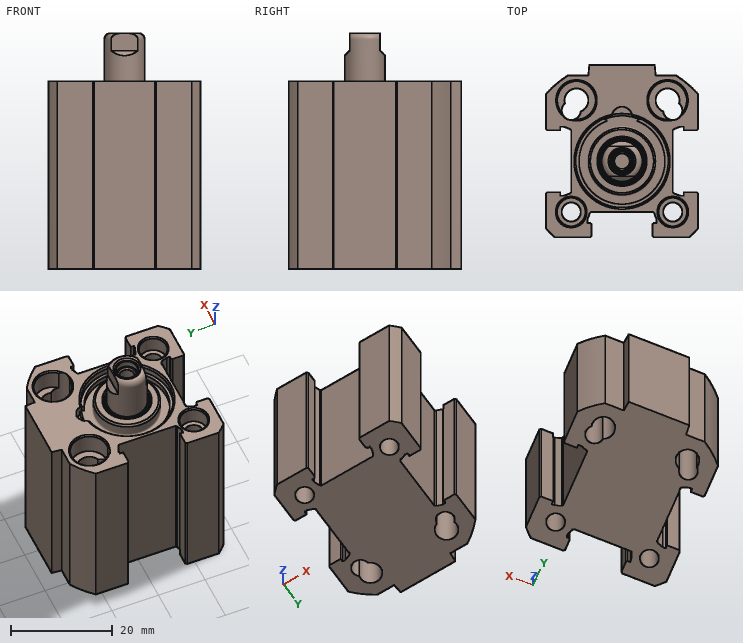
import cadquery as cq
import math


TOTAL_HEIGHT = 46.5
ROD_PROTRUSION = 9.5
HOUSING_HEIGHT = TOTAL_HEIGHT - ROD_PROTRUSION
HALF_WIDTH = 30.0 / 2
SHOULDER_Y = 16.93
PORT_PAD_Y = 34.0 - HALF_WIDTH
PORT_PAD_HALF_TOP = 6.45
PORT_PAD_HALF_BASE = 6.65
CORNER_RADIUS = 20.0

SLOT_FLOOR = 10.0
SLOT_FLOOR_HALF = 6.1
SLOT_FLOOR_BEVEL = 0.25
SLOT_HALF_WIDTH = 6.8
SLOT_SLOPE_END = 11.5
LIP_INNER = 12.15
FRONT_LIP_HALF_WIDTH = 6.0
SIDE_LIP_HALF_WIDTH = 6.1
FRONT_LIP_CHAMFER = 0.3
SIDE_LIP_CHAMFER = 0.3

BOLT_PITCH_HALF = 10.0
BOLT_HOLE_DIA = 3.7
COUNTERBORE_DIA = 5.6
COUNTERBORE_RIM_DIA = 6.15
COUNTERBORE_DEPTH = 3.8
REAR_POCKET_X = 8.97
REAR_POCKET_Y = 12.0
REAR_POCKET_DIA = 7.55
REAR_POCKET_RIM_DIA = 8.1
REAR_POCKET_HOLE_DIA = 4.65
REAR_POCKET_DEPTH = 4.75

MOUTH_RIM_DIA = 18.9
MOUTH_DIA = 18.25
GROOVE_DIA = 18.85
BORE_DIA = 17.9
BORE_DEPTH = 8.0
RELEASE_NOTCH_DIA = 4.0
RELEASE_NOTCH_Y = 8.75
RELEASE_NOTCH_DEPTH = 2.35

RING_INNER_DIA = 16.93
RING_TOP_DEPTH = 1.67
RING_GAP_HALF = 2.98
RING_GAP_ANGLE = 45.0

FLANGE_TOP_DEPTH = 2.95
BOSS_TOP_DEPTH = 0.15
BOSS_DIA = 13.2
BOSS_CHAMFER = 0.35
BOSS_ROOT_FILLET = 0.35
SEAL_SEAT_DIA = 9.2
SEAL_SEAT_RIM_DIA = 9.8
SEAL_SEAT_DEPTH = 2.0

SEAL_LIP_DIA = 8.4
SEAL_LIP_ROOT_DIA = 8.8
SEAL_LIP_DEPTH = 0.45
SEAL_FACE_DEPTH = 1.0

ROD_DIA = 8.0
ROD_TOP_FILLET = 1.25
FLATS_WIDTH = 6.0
FLATS_LENGTH = 3.45
ROD_HOLE_RIM_DIA = 5.4
ROD_HOLE_ENTRY_DIA = 4.75
ROD_HOLE_DIA = 4.25
ROD_HOLE_STEP_DEPTH = 1.8
ROD_HOLE_STEP_RIM_DIA = 3.7
ROD_HOLE_END_DIA = 3.0
ROD_HOLE_DEPTH = 5.0

BORE_FLOOR_Z = HOUSING_HEIGHT - BORE_DEPTH
FLANGE_TOP_Z = HOUSING_HEIGHT - FLANGE_TOP_DEPTH
BOSS_TOP_Z = HOUSING_HEIGHT - BOSS_TOP_DEPTH
SEAL_SEAT_Z = HOUSING_HEIGHT - SEAL_SEAT_DEPTH
GROOVE_TOP_Z = HOUSING_HEIGHT - RING_TOP_DEPTH
GROOVE_CONE_TOP_Z = FLANGE_TOP_Z + (GROOVE_DIA - BORE_DIA) / 2
FACE_CORNER = math.sqrt(CORNER_RADIUS**2 - HALF_WIDTH**2)
SHOULDER_CORNER = math.sqrt(CORNER_RADIUS**2 - SHOULDER_Y**2)


def cylinder(diameter, bottom, top, x=0.0, y=0.0):
    return cq.Workplane("XY", origin=(x, y, bottom)).circle(diameter / 2).extrude(top - bottom)


def rim_cone(rim_dia, hole_dia, top, x=0.0, y=0.0):
    """45 degree countersink from rim_dia at the given top down to hole_dia."""
    depth = (rim_dia - hole_dia) / 2
    cone = cq.Solid.makeCone(hole_dia / 2, rim_dia / 2, depth, pnt=cq.Vector(x, y, top - depth))
    return cq.Workplane(obj=cone)


def side_slot_points():
    """Right side slot outline, from its +Y lip to its -Y lip."""
    upper = [
        (HALF_WIDTH, SIDE_LIP_HALF_WIDTH + SIDE_LIP_CHAMFER),
        (HALF_WIDTH - SIDE_LIP_CHAMFER, SIDE_LIP_HALF_WIDTH),
        (LIP_INNER, SIDE_LIP_HALF_WIDTH),
        (LIP_INNER, SLOT_HALF_WIDTH),
        (SLOT_SLOPE_END, SLOT_HALF_WIDTH),
        (SLOT_FLOOR + SLOT_FLOOR_BEVEL, SLOT_FLOOR_HALF + SLOT_FLOOR_BEVEL),
        (SLOT_FLOOR, SLOT_FLOOR_HALF),
    ]
    lower = [(x, -y) for x, y in reversed(upper)]
    return upper + lower


def front_slot_points():
    """Right half of the front slot, from its outer lip edge to its floor."""
    return [
        (FRONT_LIP_HALF_WIDTH + FRONT_LIP_CHAMFER, -HALF_WIDTH),
        (FRONT_LIP_HALF_WIDTH, -HALF_WIDTH + FRONT_LIP_CHAMFER),
        (FRONT_LIP_HALF_WIDTH, -LIP_INNER - FRONT_LIP_CHAMFER),
        (FRONT_LIP_HALF_WIDTH + FRONT_LIP_CHAMFER, -LIP_INNER),
        (SLOT_HALF_WIDTH, -LIP_INNER),
        (SLOT_HALF_WIDTH, -SLOT_SLOPE_END),
        (SLOT_FLOOR_HALF + SLOT_FLOOR_BEVEL, -SLOT_FLOOR - SLOT_FLOOR_BEVEL),
        (SLOT_FLOOR_HALF, -SLOT_FLOOR),
    ]


def corner_arc_middle(start, end):
    """Point halfway along the corner circle between two of its points."""
    middle_angle = (math.atan2(start[1], start[0]) + math.atan2(end[1], end[0])) / 2
    return (CORNER_RADIUS * math.cos(middle_angle), CORNER_RADIUS * math.sin(middle_angle))


def housing_blank():
    """Right half of the profile, extruded and mirrored."""
    shoulder_end = (SHOULDER_CORNER, SHOULDER_Y)
    rear_corner = (HALF_WIDTH, FACE_CORNER)
    front_corner = (HALF_WIDTH, -FACE_CORNER)
    front_end = (FACE_CORNER, -HALF_WIDTH)
    profile = (
        cq.Workplane("XY")
        .moveTo(0, PORT_PAD_Y)
        .lineTo(PORT_PAD_HALF_TOP, PORT_PAD_Y)
        .lineTo(PORT_PAD_HALF_BASE, SHOULDER_Y)
        .lineTo(*shoulder_end)
        .threePointArc(corner_arc_middle(shoulder_end, rear_corner), rear_corner)
        .polyline([*side_slot_points(), front_corner], includeCurrent=True)
        .threePointArc(corner_arc_middle(front_corner, front_end), front_end)
        .polyline([*front_slot_points(), (0, -SLOT_FLOOR)], includeCurrent=True)
    )
    half = profile.close().extrude(HOUSING_HEIGHT)
    return half.union(half.mirror("YZ")).clean()


def counterbore(diameter, rim_dia, depth, x, y):
    pocket = cylinder(diameter, HOUSING_HEIGHT - depth, HOUSING_HEIGHT, x, y)
    return pocket.union(rim_cone(rim_dia, diameter, HOUSING_HEIGHT, x, y))


def retaining_groove():
    """Groove with a straight wall above a cone that narrows to the bore."""
    wall = cylinder(GROOVE_DIA, GROOVE_CONE_TOP_Z, GROOVE_TOP_Z)
    return wall.union(rim_cone(GROOVE_DIA, BORE_DIA, GROOVE_CONE_TOP_Z))


def cylinder_mouth():
    """Stepped bore for the rod cover, with the retaining ring groove and release notch."""
    bore = cylinder(BORE_DIA, BORE_FLOOR_Z, FLANGE_TOP_Z)
    mouth = cylinder(MOUTH_DIA, GROOVE_TOP_Z, HOUSING_HEIGHT)
    rim = rim_cone(MOUTH_RIM_DIA, MOUTH_DIA, HOUSING_HEIGHT)
    notch = cylinder(RELEASE_NOTCH_DIA, HOUSING_HEIGHT - RELEASE_NOTCH_DEPTH, HOUSING_HEIGHT, y=RELEASE_NOTCH_Y)
    return bore.union(retaining_groove()).union(mouth).union(rim).union(notch)


def front_bolt_hole(x):
    hole = cylinder(BOLT_HOLE_DIA, 0, HOUSING_HEIGHT, x, -BOLT_PITCH_HALF)
    sink = counterbore(COUNTERBORE_DIA, COUNTERBORE_RIM_DIA, COUNTERBORE_DEPTH, x, -BOLT_PITCH_HALF)
    return hole.union(sink)


def rear_bolt_hole(bolt_x, pocket_x):
    """Bolt hole overlapped by a wide pocket that has a second, larger hole in its floor."""
    floor_z = HOUSING_HEIGHT - REAR_POCKET_DEPTH
    bolt_hole = cylinder(BOLT_HOLE_DIA, 0, HOUSING_HEIGHT, bolt_x, BOLT_PITCH_HALF)
    pocket_hole = cylinder(REAR_POCKET_HOLE_DIA, 0, floor_z, pocket_x, REAR_POCKET_Y)
    pocket = counterbore(REAR_POCKET_DIA, REAR_POCKET_RIM_DIA, REAR_POCKET_DEPTH, pocket_x, REAR_POCKET_Y)
    return bolt_hole.union(pocket_hole).union(pocket)


def make_housing():
    body = housing_blank().cut(cylinder_mouth())
    for side in (-1, 1):
        body = body.cut(front_bolt_hole(side * BOLT_PITCH_HALF))
        body = body.cut(rear_bolt_hole(side * BOLT_PITCH_HALF, side * REAR_POCKET_X))
    return body


def make_rod_cover():
    """Flanged bushing with a boss that ends just below the housing top."""
    boss = cylinder(BOSS_DIA, FLANGE_TOP_Z, BOSS_TOP_Z).faces(">Z").chamfer(BOSS_CHAMFER)
    cover = cylinder(BORE_DIA, BORE_FLOOR_Z, FLANGE_TOP_Z).union(boss)
    boss_root = cq.selectors.RadiusNthSelector(0)
    cover = cover.faces(">Z[-2]").edges(boss_root).fillet(BOSS_ROOT_FILLET)
    cover = cover.cut(cylinder(ROD_DIA, BORE_FLOOR_Z, BOSS_TOP_Z))
    cover = cover.cut(cylinder(SEAL_SEAT_DIA, SEAL_SEAT_Z, BOSS_TOP_Z))
    return cover.cut(rim_cone(SEAL_SEAT_RIM_DIA, SEAL_SEAT_DIA, BOSS_TOP_Z))


def make_rod_seal():
    """Ring in the cover's seat with a raised, tapered lip around the rod."""
    face_z = HOUSING_HEIGHT - SEAL_FACE_DEPTH
    lip_z = HOUSING_HEIGHT - SEAL_LIP_DEPTH
    base = cylinder(SEAL_SEAT_DIA, SEAL_SEAT_Z, face_z)
    lip_base = cq.Vector(0, 0, face_z)
    lip = cq.Solid.makeCone(SEAL_LIP_ROOT_DIA / 2, SEAL_LIP_DIA / 2, lip_z - face_z, pnt=lip_base)
    return base.union(cq.Workplane(obj=lip)).cut(cylinder(ROD_DIA, SEAL_SEAT_Z, lip_z))


def make_retaining_ring():
    """Open ring that fills its groove, with slanted ends facing a gap towards +Y."""
    ring = retaining_groove().cut(cylinder(RING_INNER_DIA, FLANGE_TOP_Z, GROOVE_TOP_Z))
    gap_inner_y = math.sqrt((RING_INNER_DIA / 2) ** 2 - RING_GAP_HALF**2)
    slant = math.tan(math.radians(RING_GAP_ANGLE))
    apex_y = gap_inner_y - RING_GAP_HALF / slant
    far_y = GROOVE_DIA
    far_half = (far_y - apex_y) * slant
    gap = (
        cq.Workplane("XY", origin=(0, 0, FLANGE_TOP_Z))
        .polyline([(0, apex_y), (far_half, far_y), (-far_half, far_y)])
        .close()
        .extrude(GROOVE_TOP_Z - FLANGE_TOP_Z)
    )
    return ring.cut(gap)


def wrench_flat():
    """Cutter for the +Y flat at the rod end, with a 45 degree run-out."""
    flat_y = FLATS_WIDTH / 2
    flat_z = TOTAL_HEIGHT - FLATS_LENGTH
    outer_y = ROD_DIA
    profile = [
        (flat_y, TOTAL_HEIGHT),
        (flat_y, flat_z),
        (outer_y, flat_z - (outer_y - flat_y)),
        (outer_y, TOTAL_HEIGHT),
    ]
    return cq.Workplane("YZ").polyline(profile).close().extrude(ROD_DIA / 2, both=True)


def rod_end_hole():
    """Stepped blind hole: conical entry with a ledge, main hole and a countersunk smaller end."""
    step_z = TOTAL_HEIGHT - ROD_HOLE_STEP_DEPTH
    end_z = TOTAL_HEIGHT - ROD_HOLE_DEPTH
    entry = rim_cone(ROD_HOLE_RIM_DIA, ROD_HOLE_ENTRY_DIA, TOTAL_HEIGHT)
    main = cylinder(ROD_HOLE_DIA, step_z, TOTAL_HEIGHT)
    end = cylinder(ROD_HOLE_END_DIA, end_z, step_z)
    end = end.union(rim_cone(ROD_HOLE_STEP_RIM_DIA, ROD_HOLE_END_DIA, step_z))
    return entry.union(main).union(end)


def make_rod():
    rod = cylinder(ROD_DIA, BORE_FLOOR_Z, TOTAL_HEIGHT).faces(">Z").edges().fillet(ROD_TOP_FILLET)
    flat = wrench_flat()
    rod = rod.cut(flat).cut(flat.mirror("XZ"))
    return rod.cut(rod_end_hole())


housing = make_housing()
rod_cover = make_rod_cover()
rod_seal = make_rod_seal()
retaining_ring = make_retaining_ring()
rod = make_rod()

result = cq.Compound.makeCompound(
    [housing.val(), rod_cover.val(), rod_seal.val(), retaining_ring.val(), rod.val()]
)